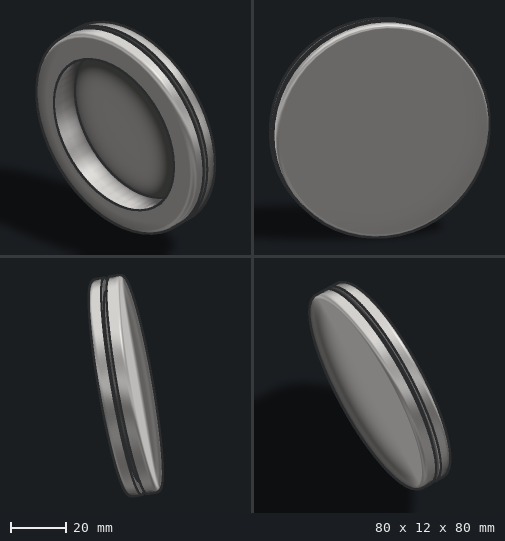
import cadquery as cq

outer_diameter = 80.0
thickness = 12.0
pocket_diameter = 60.0
groove_width = 2.0
front_fillet = 2.0
back_fillet = 1.5

groove_depth = (thickness - groove_width) / 2
floor_thickness = groove_width / 2
pocket_depth = thickness - floor_thickness
front_y = -thickness / 2


def disc(diameter, start_y, length):
    """Solid cylinder along +Y, beginning at start_y."""
    plane = cq.Workplane("XZ", origin=(0, start_y, 0))
    return plane.circle(diameter / 2).extrude(-length)


body = disc(outer_diameter, front_y, thickness)
body = body.faces("<Y").edges().fillet(front_fillet)
body = body.faces(">Y").edges().fillet(back_fillet)

pocket = disc(pocket_diameter, front_y, pocket_depth)

groove_floor_diameter = outer_diameter - 2 * groove_depth
groove_start_y = -groove_width / 2
groove = disc(outer_diameter, groove_start_y, groove_width).cut(
    disc(groove_floor_diameter, groove_start_y, groove_width)
)

result = body.cut(pocket).cut(groove)